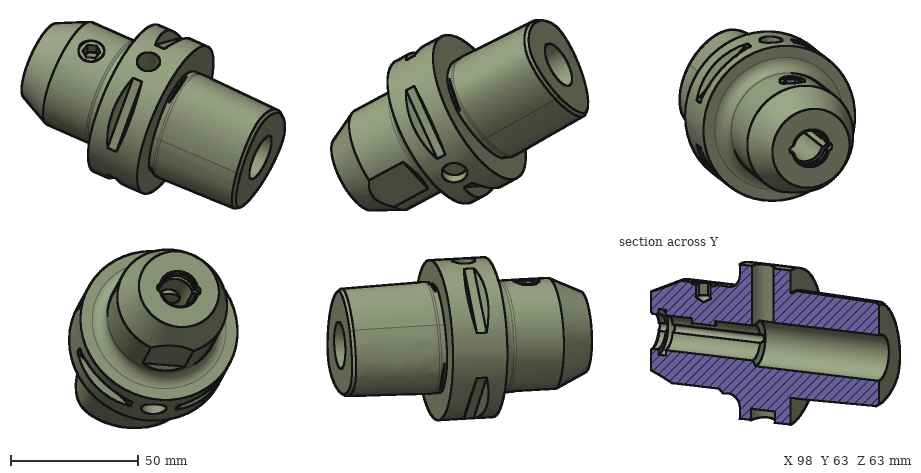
import cadquery as cq
import math

LENGTH = 98.0

TIP_DIAMETER = 32.0
HEAD_DIAMETER = 44.0
NECK_DIAMETER = 43.6
CONE_LENGTH = 12.8
HEAD_END = 32.0
NECK_START = 32.9
FLANGE_FILLET = 5.0

FLANGE_DIAMETER = 63.0
FLANGE_WIDTH = 22.0
SHANK_LENGTH = 38.0
FLANGE_BACK = LENGTH - SHANK_LENGTH
FLANGE_FRONT = FLANGE_BACK - FLANGE_WIDTH
FLANGE_MIDDLE = 48.0

FLAT_HEIGHT = 20.3
FLAT_LENGTH = 29.2

SHANK_DIAMETER = HEAD_DIAMETER
LOBE_RISE = 1.4
TAPER = 1 / 20
ROOT_RELIEF = 0.1
ROOT_LENGTH = 2.2
ROOT_BLEND = 1.0
END_CHAMFER_LENGTH = 1.4
END_CHAMFER_DEPTH = 1.0
LOBES = 3
POINTS_PER_FACE = 16

UNDERCUT_WIDTH = 1.1
UNDERCUT_RADIUS = 22.3

GROOVE_COUNT = 4
GROOVE_FLOOR_RADIUS = 27.7
GROOVE_FLOOR_WIDTH = 3.9
GROOVE_WALL_ANGLE = 28.0

RADIAL_HOLE_DIAMETER = 9.0

POCKET_DIAMETER = 10.0
POCKET_DEPTH = 4.6

BORE_DIAMETER = 14.0
MOUTH_CHAMFER = 0.7
RING_GROOVE_DIAMETER = 18.4
RING_GROOVE_START = 3.3
RING_GROOVE_END = 6.4
CHANNEL_WIDTH = 3.2
CHANNEL_SPAN = 17.4
BACK_BORE_DIAMETER = 18.4
BACK_BORE_START = 45.1
DRILL_POINT_ANGLE = 120.0

SCREW_DIAMETER = 10.1
SCREW_X = 22.5
SCREW_TOP = 21.3
SCREW_BOTTOM = 5.1
SOCKET_FLATS = 6.0
SOCKET_DEPTH = 5.0
SOCKET_TURN = 83.5


def cylinder_x(diameter, start, end):
    """Cylinder on the X axis between two X positions."""
    return cq.Workplane("YZ", origin=(start, 0, 0)).circle(diameter / 2).extrude(end - start)


def cylinder_z(diameter, x, bottom, top):
    """Upright cylinder at an X position between two heights."""
    return cq.Workplane("XY", origin=(x, 0, bottom)).circle(diameter / 2).extrude(top - bottom)


def revolve_x(profile):
    """Turn a closed profile of (x, radius) around the X axis."""
    return profile.close().revolve(360, (0, 0, 0), (1, 0, 0))


def turned_body():
    """Conical head, neck, fillet and flange."""
    head = HEAD_DIAMETER / 2
    neck = NECK_DIAMETER / 2
    flange = FLANGE_DIAMETER / 2
    fillet_start = FLANGE_FRONT - FLANGE_FILLET
    profile = (
        cq.Workplane("XY")
        .lineTo(0, TIP_DIAMETER / 2)
        .lineTo(CONE_LENGTH, head)
        .lineTo(HEAD_END, head)
        .lineTo(NECK_START, neck)
        .lineTo(fillet_start, neck)
        .radiusArc((FLANGE_FRONT, neck + FLANGE_FILLET), -FLANGE_FILLET)
        .lineTo(FLANGE_FRONT, flange)
        .lineTo(FLANGE_BACK, flange)
        .lineTo(FLANGE_BACK, 0)
    )
    return revolve_x(profile)


def lobe_point(x, radius, angle):
    """Point of the constant-width lobed outline; angle 0 is the lobe at +Z."""
    reach = radius + LOBE_RISE * math.cos(LOBES * angle)
    slide = -LOBES * LOBE_RISE * math.sin(LOBES * angle)
    y = reach * math.sin(angle) + slide * math.cos(angle)
    z = reach * math.cos(angle) - slide * math.sin(angle)
    return cq.Vector(x, y, z)


def lobe_section(x, radius):
    """Closed lobed outline, one smooth curve per lobe, joined on the flat sides."""
    face_angle = 2 * math.pi / LOBES
    edges = []
    for lobe in range(LOBES):
        start = (lobe - 0.5) * face_angle
        angles = [start + face_angle * i / POINTS_PER_FACE for i in range(POINTS_PER_FACE + 1)]
        points = [lobe_point(x, radius, angle) for angle in angles]
        tangents = [cq.Vector(0, math.cos(a), -math.sin(a)) for a in (angles[0], angles[-1])]
        edges.append(cq.Edge.makeSpline(points, tangents=tangents))
    return cq.Wire.assembleEdges(edges)


def shank():
    """Lobed shank with relieved root, taper, end chamfer and a round undercut with a 45 degree wall."""
    full = SHANK_DIAMETER / 2
    root_end = FLANGE_BACK + ROOT_LENGTH
    taper_start = root_end + ROOT_BLEND
    taper_end = LENGTH - END_CHAMFER_LENGTH
    small = full - (taper_end - taper_start) * TAPER / 2
    sections = [
        (FLANGE_BACK, full - ROOT_RELIEF),
        (root_end, full - ROOT_RELIEF),
        (taper_start, full),
        (taper_end, small),
        (LENGTH, small - END_CHAMFER_DEPTH),
    ]
    wires = [lobe_section(x, radius) for x, radius in sections]
    lobed = cq.Workplane(obj=cq.Solid.makeLoft(wires, True))

    outside = full + 2 * LOBE_RISE
    slope_start = FLANGE_BACK + UNDERCUT_WIDTH
    slope_end = slope_start + outside - UNDERCUT_RADIUS
    undercut = (
        cq.Workplane("XY")
        .moveTo(FLANGE_BACK, UNDERCUT_RADIUS)
        .lineTo(slope_start, UNDERCUT_RADIUS)
        .lineTo(slope_end, outside)
        .lineTo(FLANGE_BACK, outside)
    )
    return lobed.cut(revolve_x(undercut))


def head_flat():
    """Material below the flat of the head, with a 45 degree run-out."""
    run_out = HEAD_DIAMETER / 2 - FLAT_HEIGHT
    return (
        cq.Workplane("XZ")
        .moveTo(0, -FLAT_HEIGHT)
        .lineTo(FLAT_LENGTH, -FLAT_HEIGHT)
        .lineTo(FLAT_LENGTH + run_out, -HEAD_DIAMETER / 2)
        .lineTo(0, -HEAD_DIAMETER / 2)
        .close()
        .extrude(HEAD_DIAMETER / 2, both=True)
    )


def drive_grooves():
    """Straight flat-bottomed V grooves, evenly spaced between the main axes."""
    top = FLANGE_DIAMETER / 2
    rise = top - GROOVE_FLOOR_RADIUS
    half_floor = GROOVE_FLOOR_WIDTH / 2
    half_top = half_floor + rise * math.tan(math.radians(GROOVE_WALL_ANGLE))
    groove = (
        cq.Workplane("XZ", origin=(FLANGE_MIDDLE, 0, 0))
        .polyline([
            (-half_floor, GROOVE_FLOOR_RADIUS),
            (half_floor, GROOVE_FLOOR_RADIUS),
            (half_top, top),
            (-half_top, top),
        ])
        .close()
        .extrude(FLANGE_DIAMETER / 2, both=True)
    )
    spacing = 360 / GROOVE_COUNT
    grooves = cq.Workplane()
    for i in range(GROOVE_COUNT):
        grooves = grooves.add(groove.rotate((0, 0, 0), (1, 0, 0), spacing * (i + 0.5)))
    return grooves.combine()


def inner_bores():
    """Chamfered tool bore with channels and a ring groove, opening through a cone into the back bore."""
    bore = BORE_DIAMETER / 2
    back = BACK_BORE_DIAMETER / 2
    point_length = (back - bore) / math.tan(math.radians(DRILL_POINT_ANGLE / 2))
    profile = (
        cq.Workplane("XY")
        .lineTo(0, bore + MOUTH_CHAMFER)
        .lineTo(MOUTH_CHAMFER, bore)
        .lineTo(BACK_BORE_START - point_length, bore)
        .lineTo(BACK_BORE_START, back)
        .lineTo(LENGTH, back)
        .lineTo(LENGTH, 0)
    )
    ring = cylinder_x(RING_GROOVE_DIAMETER, RING_GROOVE_START, RING_GROOVE_END)
    channels = cq.Workplane("YZ").slot2D(CHANNEL_SPAN, CHANNEL_WIDTH).extrude(BACK_BORE_START)
    return revolve_x(profile).union(ring).union(channels)


def screw_socket():
    """Hexagon socket with a conical floor."""
    corners = SOCKET_FLATS / math.cos(math.pi / 6)
    floor = SCREW_TOP - SOCKET_DEPTH
    hexagon = (
        cq.Workplane("XY", origin=(SCREW_X, 0, floor))
        .transformed(rotate=(0, 0, SOCKET_TURN))
        .polygon(6, corners)
        .extrude(SOCKET_DEPTH)
    )
    point_length = corners / 2 / math.tan(math.radians(DRILL_POINT_ANGLE / 2))
    floor_center = cq.Vector(SCREW_X, 0, floor)
    point = cq.Solid.makeCone(corners / 2, 0, point_length, floor_center, cq.Vector(0, 0, -1))
    return hexagon.union(cq.Workplane(obj=point))


body = turned_body().union(shank())
body = body.cut(head_flat()).cut(drive_grooves()).cut(inner_bores())
body = body.cut(cylinder_z(RADIAL_HOLE_DIAMETER, FLANGE_MIDDLE, 0, FLANGE_DIAMETER / 2))
pocket_bottom = -FLANGE_DIAMETER / 2
body = body.cut(cylinder_z(POCKET_DIAMETER, FLANGE_MIDDLE, pocket_bottom, pocket_bottom + POCKET_DEPTH))

body = body.cut(cylinder_z(SCREW_DIAMETER, SCREW_X, SCREW_TOP, HEAD_DIAMETER / 2))
body = body.union(cylinder_z(SCREW_DIAMETER, SCREW_X, SCREW_BOTTOM, SCREW_TOP))
result = body.cut(screw_socket())